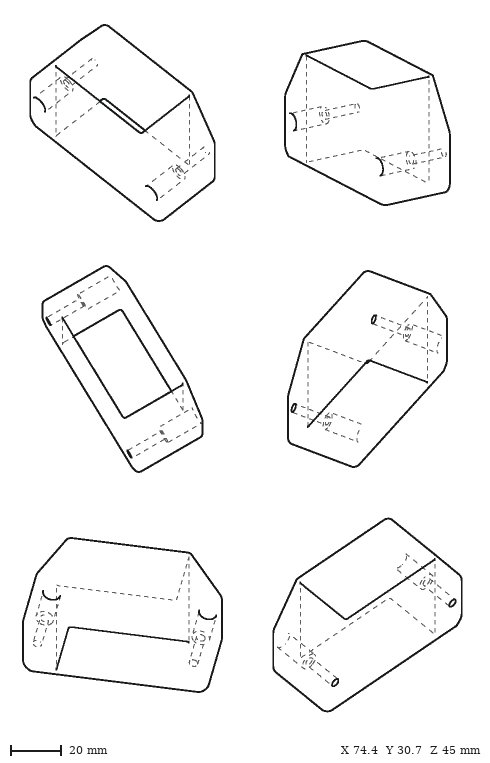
import cadquery as cq

length = 74.4
width = 30.7
height = 45.0

top_length = 50.2
shoulder_height = 25.0
bottom_chamfer = 2.0
profile_radius = 5.0
edge_fillet = 2.0

edge_softening = 0.2

end_wall = 1.1
side_wall = 1.8
opening_length = top_length - 2 * end_wall
opening_width = width - 2 * side_wall
opening_corner_radius = 1.0

hole_inset = 6.0
hole_height = 15.0
hole_diameter = 3.4
counterbore_diameter = 7.0
counterbore_depth = width / 2


def make_body():
    """Eight-sided block with sloped shoulders and rounded long edges."""
    half_length = length / 2
    right_side = [
        (half_length - bottom_chamfer, 0),
        (half_length, bottom_chamfer),
        (half_length, shoulder_height),
        (top_length / 2, height),
    ]
    left_side = [(-x, z) for x, z in reversed(right_side)]
    block = (
        cq.Workplane("XZ")
        .polyline(right_side + left_side)
        .close()
        .extrude(width / 2, both=True)
    )
    ends = cq.selectors.BoxSelector(
        (-length, -width, bottom_chamfer / 2),
        (length, width, (shoulder_height + height) / 2),
    )
    block = block.edges("|Y").edges(ends).fillet(profile_radius)
    return block.faces("<Y or >Y").edges("not(<Z or >Z)").fillet(edge_fillet)


def make_opening():
    """Straight rounded rectangle running from bottom to top."""
    return (
        cq.Workplane("XY")
        .rect(opening_length, opening_width)
        .extrude(height)
        .edges("|Z")
        .fillet(opening_corner_radius)
    )


def make_screw_hole(x):
    """Through hole with a counterbore entering from the -Y face."""
    front = cq.Workplane("XZ", origin=(x, -width / 2, hole_height))
    through = front.circle(hole_diameter / 2).extrude(-width)
    counterbore = front.circle(counterbore_diameter / 2).extrude(-counterbore_depth)
    return through.union(counterbore)


result = make_body().cut(make_opening())
for side in (-1, 1):
    result = result.cut(make_screw_hole(side * (length / 2 - hole_inset)))

result = result.faces("<Z or >Z").edges().fillet(edge_softening)
mouth_edges = cq.selectors.RadiusNthSelector(-1)
result = result.faces("<Y").edges("%CIRCLE").edges(mouth_edges).fillet(edge_softening)